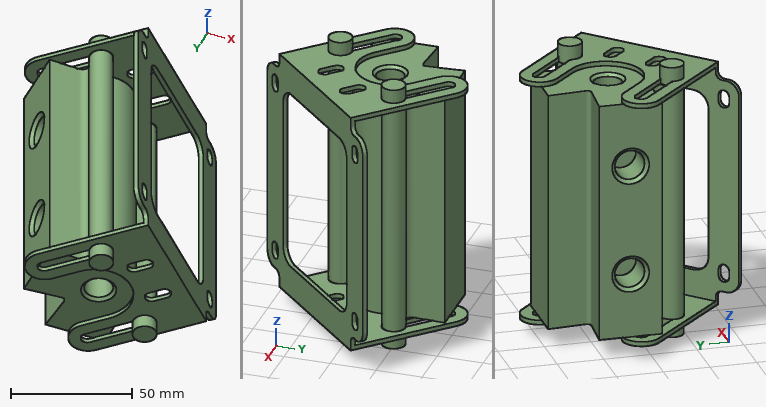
import cadquery as cq
import math

TURN = 45.0

half_height = 60.0
pin_projection = 6.0
half_bracket = half_height - pin_projection
sheet = 2.0
half_block = half_bracket - sheet

pin_x = 24.2
pin_y = -10.8
pin_radius = 5.0

half_flange = 32.5
plate_outer_y = -34.9
plate_inner_y = plate_outer_y + sheet
finger_radius = half_flange - pin_x
finger_end_y = 14.3
slot_end_y = 14.6
slot_width = 5.5
throat_y = 1.7
throat_radius = pin_x - finger_radius
vent_x = 10.0
vent_y = -22.5
vent_width = 5.5
vent_length = 11.3

half_ear_span = 43.5
half_ear_height = 47.0
ear_corner_radius = 6.0
ear_root_radius = 3.0
window_width = 58.1
window_height = 79.9
window_radius = 7.0
mount_x = 36.4
mount_z = 38.8
mount_width = 5.0
mount_length = 7.7

notch_root_y = 14.4
notch_radius = 1.8
lip = (12.1, 28.5)
shoulder = (31.2, 9.4)
flank_end = (21.2, 0.2)
belly_radius = 15.6
lobe_radius = pin_radius

end_port_diameter = 12.0
end_port_mouth = 14.6
side_port_diameter = 12.7
side_port_mouth = 15.8
port_depth = 15.0
side_port_z = 24.0


def mirrored(point):
    return (-point[0], point[1])


def plate_slot(width, length, x, z):
    """Upright rounded slot through the bracket plate."""
    return (
        cq.Workplane("XZ", origin=(x, plate_inner_y, z))
        .slot2D(length, width, 90)
        .extrude(sheet)
    )


def make_flange():
    """One flange, lying on the XY plane, with two slotted fingers around a round throat."""
    finger_inner_x = pin_x - finger_radius
    finger_tip_y = finger_end_y + finger_radius
    flange = (
        cq.Workplane("XY")
        .moveTo(-half_flange, plate_outer_y)
        .lineTo(half_flange, plate_outer_y)
        .lineTo(half_flange, finger_end_y)
        .threePointArc((pin_x, finger_tip_y), (finger_inner_x, finger_end_y))
        .lineTo(finger_inner_x, throat_y)
        .threePointArc((0, throat_y - throat_radius), (-finger_inner_x, throat_y))
        .lineTo(-finger_inner_x, finger_end_y)
        .threePointArc((-pin_x, finger_tip_y), (-half_flange, finger_end_y))
        .close()
        .extrude(sheet)
    )
    slot_travel = slot_end_y - pin_y
    pin_slots = (
        cq.Workplane("XY")
        .pushPoints([(side * pin_x, pin_y + slot_travel / 2) for side in (-1, 1)])
        .slot2D(slot_travel + slot_width, slot_width, 90)
        .extrude(sheet)
    )
    vents = (
        cq.Workplane("XY")
        .pushPoints([(-vent_x, vent_y), (vent_x, vent_y)])
        .slot2D(vent_length, vent_width, 90)
        .extrude(sheet)
    )
    pin_holes = (
        cq.Workplane("XY")
        .pushPoints([(-pin_x, pin_y), (pin_x, pin_y)])
        .circle(pin_radius)
        .extrude(sheet)
    )
    return flange.cut(pin_slots).cut(pin_holes).cut(vents)


def make_plate():
    """Upright plate with a window and two ears that carry the mounting slots."""
    margin = 1.2
    web = cq.Workplane("XY").box(2 * half_flange, sheet, 2 * half_bracket)
    ears = (
        cq.Workplane("XY")
        .box(2 * half_ear_span, sheet, 2 * half_ear_height)
        .edges("|Y")
        .fillet(ear_corner_radius)
    )
    root_box = cq.selectors.BoxSelector(
        (-half_flange - margin, -sheet, -half_ear_height - margin),
        (half_flange + margin, sheet, half_ear_height + margin),
    )
    plate = web.union(ears).edges("|Y").edges(root_box).fillet(ear_root_radius)
    plate = plate.translate((0, plate_outer_y + sheet / 2, 0))
    window = (
        cq.Workplane("XZ", origin=(0, plate_inner_y, 0))
        .rect(window_width, window_height)
        .extrude(sheet)
        .edges("|Y")
        .fillet(window_radius)
    )
    plate = plate.cut(window)
    for x in (-mount_x, mount_x):
        for z in (-mount_z, mount_z):
            plate = plate.cut(plate_slot(mount_width, mount_length, x, z))
    return plate


def make_bracket():
    top_flange = make_flange().translate((0, 0, half_block))
    bottom_flange = make_flange().translate((0, 0, -half_bracket))
    return make_plate().union(top_flange).union(bottom_flange)


def make_block_body():
    """Extruded section: V-notched body with a round belly and a necked lobe on each side."""
    neck_outer = (20.9, -4.1)
    lobe_start = (24.8, -5.8)
    lobe_far_angle = math.radians(-40)
    lobe_far = (
        pin_x + lobe_radius * math.cos(lobe_far_angle),
        pin_y + lobe_radius * math.sin(lobe_far_angle),
    )
    lobe_end = (19.7, -12.4)
    neck_inner = (17.4, -9.4)
    neck_end = (15.7, -7.7)
    belly_edge_x = 13.3
    belly_start = (belly_edge_x, -math.sqrt(belly_radius**2 - belly_edge_x**2))
    flank_mid = (20.2, -1.8)
    neck_outer_mid = (22.7, -5.3)
    neck_inner_mid = (18.6, -10.8)
    belly_fillet_mid = (14.6, -7.5)
    body = (
        cq.Workplane("XY", origin=(0, 0, -half_block))
        .moveTo(0, notch_root_y)
        .lineTo(*lip)
        .lineTo(*shoulder)
        .lineTo(*flank_end)
        .threePointArc(flank_mid, neck_outer)
        .threePointArc(neck_outer_mid, lobe_start)
        .threePointArc(lobe_far, lobe_end)
        .threePointArc(neck_inner_mid, neck_inner)
        .lineTo(*neck_end)
        .threePointArc(belly_fillet_mid, belly_start)
        .threePointArc((0, -belly_radius), mirrored(belly_start))
        .threePointArc(mirrored(belly_fillet_mid), mirrored(neck_end))
        .lineTo(*mirrored(neck_inner))
        .threePointArc(mirrored(neck_inner_mid), mirrored(lobe_end))
        .threePointArc(mirrored(lobe_far), mirrored(lobe_start))
        .threePointArc(mirrored(neck_outer_mid), mirrored(neck_outer))
        .threePointArc(mirrored(flank_mid), mirrored(flank_end))
        .lineTo(*mirrored(shoulder))
        .lineTo(*mirrored(lip))
        .close()
        .extrude(2 * half_block)
    )
    root_edge = cq.selectors.NearestToPointSelector((0, notch_root_y, 0))
    return body.edges("|Z").edges(root_edge).fillet(notch_radius)


def make_port(diameter, mouth, position, direction):
    """Blind port cutter with a 45 degree chamfered mouth."""
    centre = cq.Vector(*position)
    inward = cq.Vector(*direction)
    bore = cq.Solid.makeCylinder(diameter / 2, port_depth, centre, inward)
    chamfer = cq.Solid.makeCone(mouth / 2, diameter / 2, (mouth - diameter) / 2, centre, inward)
    return bore.fuse(chamfer)


def make_pin(side, end):
    """Pin at one side (X sign) and one end (Z sign), through the flange and up to the block's lobe."""
    outer_end = cq.Vector(side * pin_x, pin_y, end * half_height)
    inward = cq.Vector(0, 0, -end)
    pin = cq.Solid.makeCylinder(pin_radius, half_height - half_block, outer_end, inward)
    return cq.Workplane(obj=pin)


def make_block():
    block = make_block_body()
    for end in (-1, 1):
        end_centre = (0, 0, end * half_block)
        end_port = make_port(end_port_diameter, end_port_mouth, end_centre, (0, 0, -end))
        block = block.cut(cq.Workplane(obj=end_port))
    face_x = -(lip[0] + shoulder[0]) / 2
    face_y = (lip[1] + shoulder[1]) / 2
    for z in (-side_port_z, side_port_z):
        side_port = make_port(side_port_diameter, side_port_mouth, (face_x, face_y, z), (1, -1, 0))
        block = block.cut(cq.Workplane(obj=side_port))
    return block


def turned(body):
    return body.rotate((0, 0, 0), (0, 0, 1), TURN).val()


pins = [make_pin(side, end) for side in (-1, 1) for end in (-1, 1)]
bracket = make_bracket()
block = make_block()

result = cq.Compound.makeCompound([turned(body) for body in [bracket, block, *pins]])